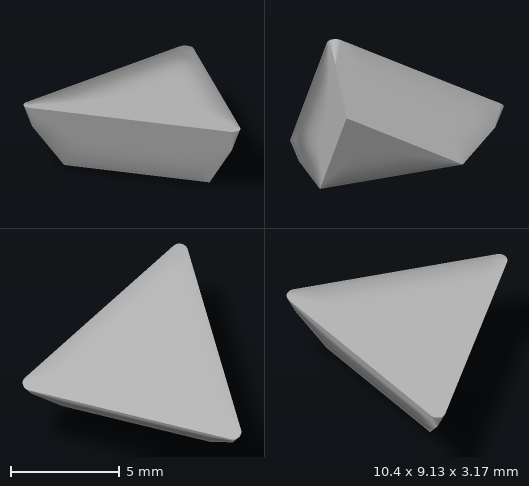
import cadquery as cq
import math

overall_width = 10.42
thickness = 3.17
nose_radius = 0.4
clearance_angle = 20.0

taper = math.tan(math.radians(clearance_angle))
nose_depth = nose_radius / taper

axis_spacing = overall_width - 2 * nose_radius
axis_distance = axis_spacing / math.sqrt(3)
top_inradius = axis_distance / 2 + nose_radius
bottom_inradius = top_inradius - thickness * taper
nose_directions = (90, 210, 330)
nose_half_sweep = 60


def polar(distance, angle):
    """Point at a distance from the Z axis, with the angle in degrees."""
    turn = math.radians(angle)
    return (distance * math.cos(turn), distance * math.sin(turn))


def triangle(inradius):
    """Corners of the sharp triangle around an inscribed circle."""
    return [polar(2 * inradius, angle) for angle in nose_directions]


def sharp_body():
    """Tapered triangular body with sharp corners, bottom at Z = 0."""
    return (
        cq.Workplane("XY")
        .polyline(triangle(bottom_inradius))
        .close()
        .workplane(offset=thickness)
        .polyline(triangle(top_inradius))
        .close()
        .loft(ruled=True)
    )


def corner_block(angle):
    """Block around one sharp corner, cut back to the nose axis and tangent lines."""
    axis_point = polar(axis_distance, angle)
    tangents = []
    for side in (-nose_half_sweep, nose_half_sweep):
        step_x, step_y = polar(nose_radius, angle + side)
        tangents.append((axis_point[0] + step_x, axis_point[1] + step_y))
    corner = polar(2 * top_inradius, angle)
    return (
        cq.Workplane("XY", origin=(0, 0, thickness - nose_depth))
        .polyline([axis_point, tangents[0], corner, tangents[1]])
        .close()
        .extrude(nose_depth)
    )


def nose(angle):
    """Sector of an inverted cone that fills one corner between its tangent lines."""
    return (
        cq.Workplane("XZ")
        .polyline([(0, thickness - nose_depth), (nose_radius, thickness), (0, thickness)])
        .close()
        .revolve(2 * nose_half_sweep, (0, 0), (0, 1))
        .rotate((0, 0, 0), (0, 0, 1), angle - nose_half_sweep)
        .translate((*polar(axis_distance, angle), 0))
    )


result = sharp_body()
for direction in nose_directions:
    result = result.cut(corner_block(direction)).union(nose(direction))